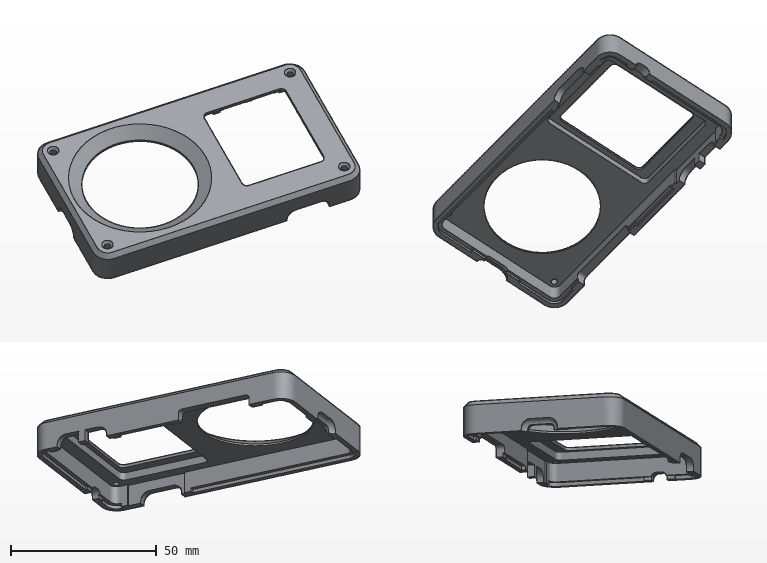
import cadquery as cq
width = 57.4
length = 99.55
height = 11.6
corner_radius = 5.6
top_chamfer = 1.6

plate_thickness = 3.9
wall_thickness = 3.1
rim_thickness = 1.7
rim_height = 1.3

window_width = 36.0
window_length = 30.7
window_center_y = 24.5
window_corner_radius = 1.9
window_plate_thickness = 1.1
pocket_width = 43.8
pocket_margin = 1.8

dish_center_y = -22.0
opening_radius = 40.0 / 2
dish_rim_radius = 49.2 / 2
dish_depth = 3.2

screw_hole_diameter = 2.2
screw_head_diameter = 3.9
screw_head_angle = 90
screw_x = 23.3
screw_y = 44.4

arch_spring_z = 0.6
port_crown_width = 6.2
port_slot_radius = 1.64
port_recess_radius = 3.43
jack_x = 13.0
jack_crown_width = 1.6
jack_shoulder_radius = 2.0
side_arch_radius = 3.5
side_arch_start_y = 20.6
left_arch_end_y = 39.8
right_arch_end_y = 36.5
tab_start_y = 29.0
tab_end_y = 31.6

side_slot_start_y = -34.7
side_slot_end_y = -7.4
side_slot_top_z = 3.9
side_slot_corner_radius = 1.4

pad_thickness = 2.5
jack_pad_width = 11.1
pad_margin = 4.0

relief_wall_thickness = 2.5
relief_margin = 1.5

below_part = 5.0


def rounded_block(size_x, size_y, size_z, radius):
    """Block standing on the bottom plane, with rounded vertical edges."""
    block = cq.Workplane("XY").rect(size_x, size_y).extrude(size_z)
    return block.edges("|Z").fillet(radius)


def inset_block(inset, size_z):
    """Block that follows the outer outline at a constant inset."""
    return rounded_block(width - 2 * inset, length - 2 * inset, size_z, corner_radius - inset)


wall_faces = {
    "left": ("YZ", (-width / 2, 0, 0), 1),
    "right": ("YZ", (width / 2, 0, 0), -1),
    "front": ("XZ", (0, -length / 2, 0), -1),
    "back": ("XZ", (0, length / 2, 0), 1),
}


def wall_box(side, start, end, top_z, depth):
    """Box from start to end along a wall, from below the part up to top_z, going depth inward."""
    plane, origin, inward = wall_faces[side]
    face = cq.Workplane(plane, origin=origin).moveTo(start, -below_part)
    return face.lineTo(start, top_z).lineTo(end, top_z).lineTo(end, -below_part).close().extrude(inward * depth)


def wall_arch(side, start, end, radius, depth):
    """Opening with vertical legs and quarter-round shoulders, going depth inward."""
    plane, origin, inward = wall_faces[side]
    top_z = arch_spring_z + radius
    outline = (
        cq.Workplane(plane, origin=origin)
        .moveTo(start, -below_part)
        .lineTo(start, arch_spring_z)
        .tangentArcPoint((start + radius, top_z), relative=False)
        .lineTo(end - radius, top_z)
        .tangentArcPoint((end, arch_spring_z), relative=False)
        .lineTo(end, -below_part)
        .close()
    )
    return outline.extrude(inward * depth)


body = inset_block(0, height).faces(">Z").chamfer(top_chamfer)
body = body.cut(inset_block(wall_thickness, height - plate_thickness))

port_pad_half_width = port_crown_width / 2 + port_recess_radius + pad_margin
arch_pad_start = side_arch_start_y - pad_margin
arch_pad_end = left_arch_end_y + pad_margin
pads = [
    ("back", jack_x - jack_pad_width / 2, jack_x + jack_pad_width / 2, pad_thickness),
    ("front", -port_pad_half_width, port_pad_half_width, pad_thickness),
    ("left", side_slot_start_y - pad_margin, side_slot_end_y + pad_margin, pad_thickness),
    ("left", arch_pad_start, arch_pad_end, wall_thickness),
    ("right", arch_pad_start, arch_pad_end, wall_thickness),
]
rabbet = inset_block(rim_thickness, rim_height)
for side, start, end, thickness in pads:
    rabbet = rabbet.cut(wall_box(side, start, end, rim_height, thickness))
body = body.cut(rabbet)

relief = (
    cq.Workplane("XY")
    .rect(width - 2 * relief_wall_thickness, left_arch_end_y - side_arch_start_y + 2 * relief_margin)
    .extrude(height - plate_thickness)
    .translate((0, (left_arch_end_y + side_arch_start_y) / 2, 0))
)
body = body.cut(relief)

window = rounded_block(window_width, window_length, height, window_corner_radius)
pocket = rounded_block(
    pocket_width,
    window_length + 2 * pocket_margin,
    height - window_plate_thickness,
    window_corner_radius,
)
body = body.cut(window.union(pocket).translate((0, window_center_y, 0)))

dish = (
    cq.Workplane("XZ")
    .lineTo(opening_radius, 0)
    .lineTo(opening_radius, height - dish_depth)
    .lineTo(dish_rim_radius, height)
    .lineTo(0, height)
    .close()
    .revolve(360, (0, 0), (0, 1))
)
body = body.cut(dish.translate((0, dish_center_y, 0)))

body = (
    body.faces(">Z")
    .workplane(origin=(0, 0, height))
    .rect(2 * screw_x, 2 * screw_y, forConstruction=True)
    .vertices()
    .cskHole(screw_hole_diameter, screw_head_diameter, screw_head_angle)
)


def port_arch(radius, depth):
    half_width = port_crown_width / 2 + radius
    return wall_arch("front", -half_width, half_width, radius, depth)


recess_depth = port_recess_radius - port_slot_radius
recess_fillet = recess_depth - 0.01
recess = port_arch(port_recess_radius, recess_depth)
recess = recess.faces(">Y").edges("not <Z").fillet(recess_fillet)
body = body.cut(recess).cut(port_arch(port_slot_radius, wall_thickness))

jack_half_width = jack_crown_width / 2 + jack_shoulder_radius
jack_start = jack_x - jack_half_width
jack_end = jack_x + jack_half_width
body = body.cut(wall_arch("back", jack_start, jack_end, jack_shoulder_radius, wall_thickness))

tab = wall_box("left", tab_start_y, tab_end_y, height / 2, wall_thickness)
left_arch = wall_arch("left", side_arch_start_y, left_arch_end_y, side_arch_radius, wall_thickness)
right_arch = wall_arch("right", side_arch_start_y, right_arch_end_y, side_arch_radius, wall_thickness)
body = body.cut(left_arch.cut(tab)).cut(right_arch)

side_slot = wall_box("left", side_slot_start_y, side_slot_end_y, side_slot_top_z, wall_thickness)
body = body.cut(side_slot.edges("|X and >Z").fillet(side_slot_corner_radius))

result = body